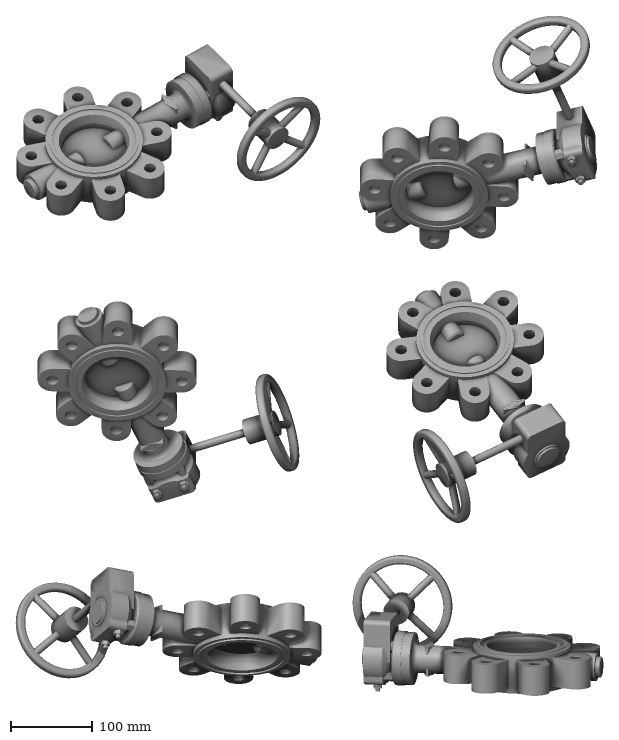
import cadquery as cq
import math

ring_radius = 60.3
ring_half_height = 23.5
bead_outer_radius = 55.0
bead_inner_radius = 51.8
bead_height = 1.87
bore_mouth_radius = 43.5
bore_throat_radius = 40.0
throat_half_height = 11.2

lug_count = 8
bolt_circle_radius = 80.0
lug_radius = 18.0
lug_thickness = 36.5
lug_half_height = lug_thickness / 2
lug_hole_diameter = 14.5

neck_radius = 17.5
foot_end_y = -94.3
pin_radius = 13.0
pin_end_y = -100.0
pin_chamfer = 1.0

neck_fillet = 5.8
neck_flange_radius = 32.7
neck_flange_start_y = 135.2
joint_y = 146.5

badge_y = 116.5
badge_half_length = 15.0
badge_half_width = 6.5
badge_tip_half_width = 1.0
badge_top = 18.5
badge_rim = 1.0
badge_tip_rim = 3.0
badge_recess = 0.7

disc_half_thickness = 2.9
disc_hub_inner_y = 20.5
disc_hub_chamfer = 2.0

gear_flange_radius = 33.7
gear_flange_end_y = 158.0
gear_flange_chamfer = 1.7

box_half_width = 27.2
box_top = 52.0
box_bottom = -30.0
box_front_y = 160.7
box_back_y = 193.7
box_corner_radius = 6.0

drum_radius = 33.0
drum_start_y = 170.0

cap_radius = 17.7
cap_step_y = 195.8
cap_top_radius = 15.0
cap_end_y = 198.2

hexagon_sides = 6
nut_offset = 18.5
nut_corner_radius = 7.0

stop_bolt_x = 18.0
stop_bolt_y = 177.7
stop_nut_corner_radius = 5.8
stop_nut_bottom = -34.7
stop_stud_radius = 2.9
stop_stud_bottom = -38.8

wheel_y = 178.0
wheel_z = 33.7
wheel_radius = 62.3
rim_size = 10.5
rim_fillet = 3.5
rim_inner_x = 136.5
rim_outer_x = rim_inner_x + rim_size
shaft_radius = 5.0
hub_start_x = 101.0
hub_end_x = 141.0
hub_radius = 16.0
spoke_count = 4
spoke_radius = 4.8
spoke_slope = 0.19


def cylinder_y(radius, start_y, end_y):
    """Round bar along the stem axis."""
    return cq.Workplane("XZ", origin=(0, start_y, 0)).circle(radius).extrude(start_y - end_y)


def cylinder_x(radius, start_x, end_x):
    """Round bar along the hand wheel axis."""
    return cq.Workplane("YZ", origin=(start_x, wheel_y, wheel_z)).circle(radius).extrude(end_x - start_x)


def make_ring():
    """Body ring with a raised sealing bead on both ends."""
    ring = cq.Workplane("XY").circle(ring_radius).extrude(ring_half_height, both=True)
    beads = cq.Workplane("XY").circle(bead_outer_radius).circle(bead_inner_radius)
    return ring.union(beads.extrude(ring_half_height + bead_height, both=True))


def make_lugs():
    """Round-ended flange lugs spread evenly around the ring, half a pitch off the X axis."""
    lugs = cq.Workplane("XY")
    pitch = 360 / lug_count
    for index in range(lug_count):
        arm = cq.Workplane("XY").center(bolt_circle_radius / 2, 0)
        arm = arm.rect(bolt_circle_radius, 2 * lug_radius).extrude(lug_half_height, both=True)
        end = cq.Workplane("XY").center(bolt_circle_radius, 0)
        end = end.circle(lug_radius).extrude(lug_half_height, both=True)
        lugs = lugs.union(arm.union(end).rotate((0, 0, 0), (0, 0, 1), (index + 0.5) * pitch))
    return lugs


def make_lug_holes():
    """Drills for the flange bolts."""
    return (
        cq.Workplane("XY")
        .polarArray(bolt_circle_radius, 180 / lug_count, 360, lug_count)
        .circle(lug_hole_diameter / 2)
        .extrude(lug_half_height, both=True)
    )


def make_bore():
    """Bore that narrows from both mouths to a straight throat."""
    outline = [
        (0, -ring_half_height),
        (bore_mouth_radius, -ring_half_height),
        (bore_throat_radius, -throat_half_height),
        (bore_throat_radius, throat_half_height),
        (bore_mouth_radius, ring_half_height),
        (0, ring_half_height),
    ]
    return cq.Workplane("XZ").polyline(outline).close().revolve(360, (0, 0), (0, 1))


def make_neck():
    """Stem neck with the foot below the ring and the filleted flange at the top."""
    fillet_start_y = neck_flange_start_y - neck_fillet
    fillet_mid = neck_fillet * (1 - math.sqrt(0.5))
    return (
        cq.Workplane("XY")
        .moveTo(0, foot_end_y)
        .lineTo(neck_radius, foot_end_y)
        .lineTo(neck_radius, fillet_start_y)
        .threePointArc(
            (neck_radius + fillet_mid, neck_flange_start_y - fillet_mid),
            (neck_radius + neck_fillet, neck_flange_start_y),
        )
        .lineTo(neck_flange_radius, neck_flange_start_y)
        .lineTo(neck_flange_radius, joint_y)
        .lineTo(0, joint_y)
        .close()
        .revolve(360, (0, 0), (0, 1))
    )


def make_bottom_pin():
    """Chamfered pin end that stands out of the foot."""
    return cylinder_y(pin_radius, pin_end_y, foot_end_y).faces("<Y").chamfer(pin_chamfer)


def make_badge(side):
    """Diamond pad with a shallow recess, on the +Z (side=1) or -Z (side=-1) face of the neck."""
    outline = [
        (badge_half_length, -badge_tip_half_width),
        (badge_half_length, badge_tip_half_width),
        (0, badge_half_width),
        (-badge_half_length, badge_tip_half_width),
        (-badge_half_length, -badge_tip_half_width),
        (0, -badge_half_width),
    ]
    pad = cq.Workplane("XY", origin=(0, badge_y, 0)).polyline(outline).close().extrude(side * badge_top)
    recess = (
        cq.Workplane("XY", origin=(0, badge_y, side * badge_top))
        .polyline([
            (badge_half_length - badge_tip_rim, 0),
            (0, badge_half_width - badge_rim),
            (badge_tip_rim - badge_half_length, 0),
            (0, badge_rim - badge_half_width),
        ])
        .close()
        .extrude(-side * badge_recess)
    )
    return pad, recess


def make_disc():
    """Closed disc with a stem hub on each side of the clear middle."""
    disc = cq.Workplane("XY").circle(bore_throat_radius).extrude(disc_half_thickness, both=True)
    for side in (1, -1):
        hub = cylinder_y(pin_radius, side * disc_hub_inner_y, side * bore_mouth_radius)
        inner_end = "<Y" if side > 0 else ">Y"
        disc = disc.union(hub.faces(inner_end).chamfer(disc_hub_chamfer))
    return disc


def make_valve():
    valve = make_ring().union(make_lugs()).union(make_neck()).union(make_bottom_pin())
    for side in (1, -1):
        pad, recess = make_badge(side)
        valve = valve.union(pad).cut(recess)
    valve = valve.cut(make_bore()).cut(make_lug_holes())
    return valve.union(make_disc())


def make_gear_flange():
    """Mounting flange that sits on the neck flange."""
    return cylinder_y(gear_flange_radius, joint_y, gear_flange_end_y).faces(">Y").chamfer(gear_flange_chamfer)


def make_box():
    """Worm gear box, set back over its lower half to clear the mounting nuts."""
    box = (
        cq.Workplane("XZ", origin=(0, box_front_y, 0))
        .center(0, (box_top + box_bottom) / 2)
        .rect(2 * box_half_width, box_top - box_bottom)
        .extrude(box_front_y - box_back_y)
        .edges("|Y")
        .fillet(box_corner_radius)
    )
    setback = (
        cq.Workplane("XZ", origin=(0, box_front_y, 0))
        .center(0, box_bottom / 2)
        .rect(2 * box_half_width, -box_bottom)
        .extrude(box_front_y - drum_start_y)
    )
    return box.cut(setback)


def make_drum():
    """Gear drum with a 45 degree cone down to the flange, flattened level with the box bottom."""
    cone_end_radius = drum_radius - (drum_start_y - gear_flange_end_y)
    outline = [
        (0, gear_flange_end_y),
        (cone_end_radius, gear_flange_end_y),
        (drum_radius, drum_start_y),
        (drum_radius, box_back_y),
        (0, box_back_y),
    ]
    drum = cq.Workplane("XY").polyline(outline).close().revolve(360, (0, 0), (0, 1))
    below_box = cq.Workplane("XY", origin=(0, drum_start_y, box_bottom))
    below_box = below_box.rect(2 * drum_radius, 2 * drum_radius).extrude(-drum_radius)
    return drum.cut(below_box)


def make_cap():
    """Stepped round cap on the back of the box."""
    cap = cylinder_y(cap_radius, box_back_y, cap_step_y)
    return cap.union(cylinder_y(cap_top_radius, cap_step_y, cap_end_y))


def make_mounting_nuts():
    """Four hexagon nuts, corners up and down, between the flange and the gear drum."""
    return (
        cq.Workplane("XZ", origin=(0, gear_flange_end_y, 0))
        .transformed(rotate=(0, 0, 90))
        .rect(2 * nut_offset, 2 * nut_offset, forConstruction=True)
        .vertices()
        .polygon(hexagon_sides, 2 * nut_corner_radius)
        .extrude(gear_flange_end_y - drum_start_y)
    )


def make_stop_bolts():
    """Two stop bolts, nut and stud, rooted inside the rounded bottom of the box."""
    places = [(-stop_bolt_x, stop_bolt_y), (stop_bolt_x, stop_bolt_y)]
    top = box_bottom + box_corner_radius
    under_box = cq.Workplane("XY", origin=(0, 0, top)).pushPoints(places)
    nuts = under_box.polygon(hexagon_sides, 2 * stop_nut_corner_radius).extrude(stop_nut_bottom - top)
    studs = under_box.circle(stop_stud_radius).extrude(stop_stud_bottom - top)
    return nuts.union(studs)


def make_rim():
    """Hand wheel rim of rounded square section."""
    rim = cylinder_x(wheel_radius, rim_inner_x, rim_outer_x)
    rim = rim.cut(cylinder_x(wheel_radius - rim_size, rim_inner_x, rim_outer_x))
    return rim.edges().fillet(rim_fillet)


def make_spokes():
    """Round spokes that lean from the rim back towards the box."""
    rim_middle_x = (rim_inner_x + rim_outer_x) / 2
    rim_middle_radius = wheel_radius - rim_size / 2
    start = cq.Vector(rim_middle_x, wheel_y, wheel_z + rim_middle_radius)
    lean = cq.Vector(-spoke_slope, 0, -1)
    length = rim_middle_radius * math.hypot(1, spoke_slope)
    spoke = cq.Workplane(cq.Solid.makeCylinder(spoke_radius, length, start, lean))
    spokes = cq.Workplane("XY")
    pitch = 360 / spoke_count
    for index in range(spoke_count):
        turn = (index + 0.5) * pitch
        spokes = spokes.union(spoke.rotate((0, wheel_y, wheel_z), (1, wheel_y, wheel_z), turn))
    return spokes


def make_hand_wheel():
    shaft = cylinder_x(shaft_radius, 0, hub_end_x)
    hub = cylinder_x(hub_radius, hub_start_x, hub_end_x)
    return shaft.union(hub).union(make_spokes()).union(make_rim())


def make_gear_operator():
    operator = make_gear_flange().union(make_drum()).union(make_box()).union(make_cap())
    operator = operator.union(make_mounting_nuts()).union(make_stop_bolts())
    return operator.union(make_hand_wheel())


valve = make_valve()
gear_operator = make_gear_operator()
result = cq.Compound.makeCompound([valve.val(), gear_operator.val()])